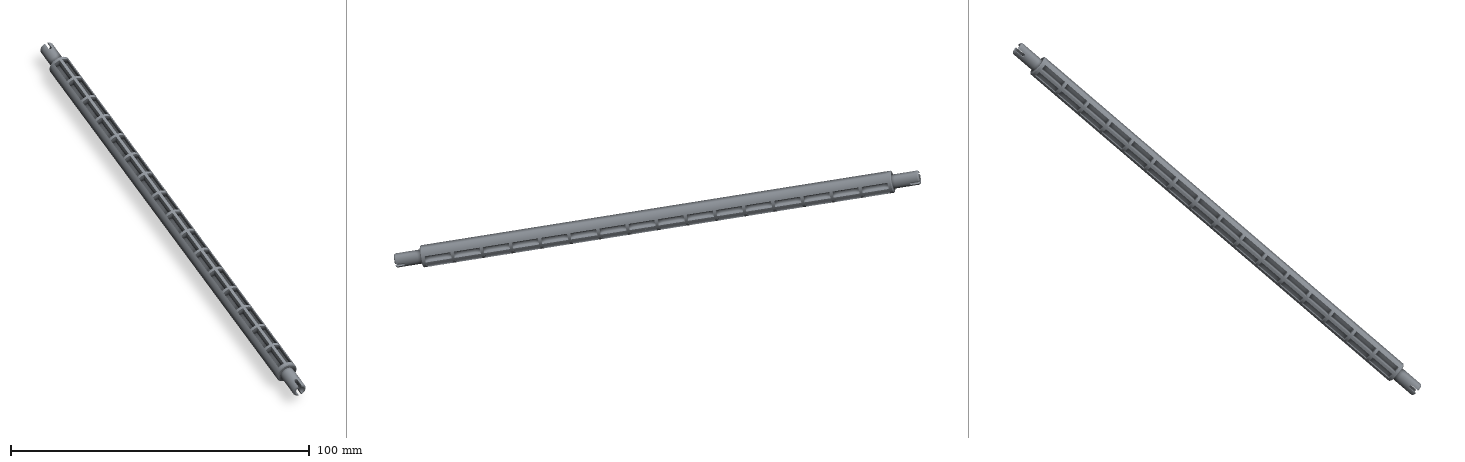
import cadquery as cq

total_length = 180.05
body_diameter = 7.5
body_length = 161.7
body_chamfer = 0.3
journal_diameter = 4.8
journal_fillet = 0.6

bore_diameter = 3.35
bore_depth = 3.3
slot_width = 1.2
slot_depth = 3.4

bay_count = 16
bay_pitch = 10.0
rib_thickness = 1.0
pocket_band_width = 5.0
pocket_floor_height = 1.0

body_radius = body_diameter / 2
half_length = total_length / 2
pocket_length = bay_pitch - rib_thickness
pocket_width = (pocket_band_width - rib_thickness) / 2
pocket_row_spacing = pocket_width + rib_thickness


def cylinder_along_x(diameter, length, start_x):
    """Cylinder on the X axis, running from start_x toward +X."""
    return cq.Workplane("YZ", origin=(start_x, 0, 0)).circle(diameter / 2).extrude(length)


def stepped_shaft():
    """Chamfered body on a thinner rod whose rounded ends are the two journals."""
    rod = cylinder_along_x(journal_diameter, total_length, -half_length)
    rod = rod.faces("<X or >X").fillet(journal_fillet)
    body = cylinder_along_x(body_diameter, body_length, -body_length / 2)
    body = body.faces("<X or >X").chamfer(body_chamfer)
    return rod.union(body)


def end_cut():
    """Blind bore and round-bottomed slot, open along Z, in the +X journal end."""
    bore = cylinder_along_x(bore_diameter, bore_depth, half_length - bore_depth)
    slot = (
        cq.Workplane("XY", origin=(half_length, 0, 0))
        .slot2D(2 * slot_depth, slot_width)
        .extrude(journal_diameter, both=True)
    )
    return bore.union(slot)


def pockets():
    """Flat-floored pockets in the +Z side: two in each bay, one on either side of the central rib."""
    return (
        cq.Workplane("XY", origin=(0, 0, pocket_floor_height))
        .rarray(bay_pitch, pocket_row_spacing, bay_count, 2)
        .rect(pocket_length, pocket_width)
        .extrude(body_radius)
    )


result = stepped_shaft()
for turn in (0, 180):
    result = result.cut(pockets().rotate((0, 0, 0), (1, 0, 0), turn))
    result = result.cut(end_cut().rotate((0, 0, 0), (0, 0, 1), turn))